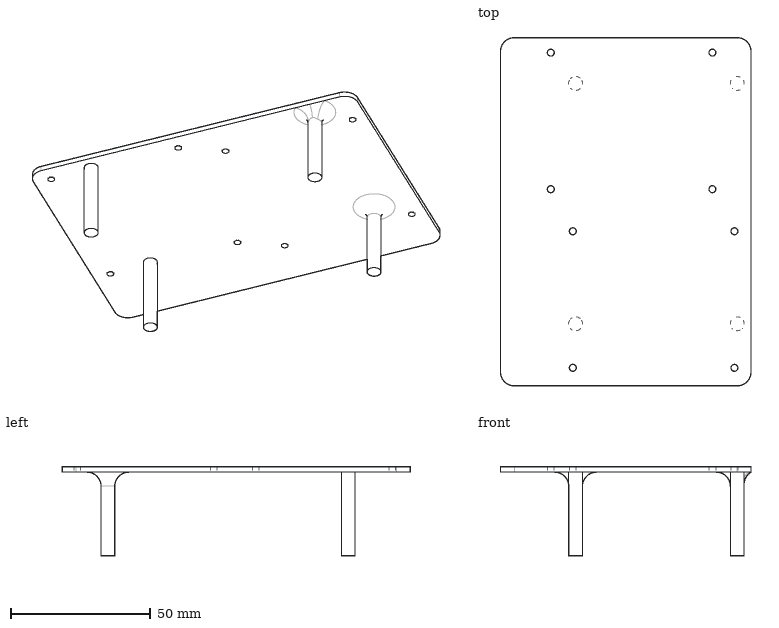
import cadquery as cq

plate_width = 90.0
plate_length = 125.0
plate_thickness = 2.0
corner_radius = 5.0

hole_diameter = 2.4
hole_pitch_x = 58.0
hole_pitch_y = 49.0
front_pattern_origin = (26.0, 6.5)
rear_pattern_origin = (18.1, 70.6)

post_diameter = 5.0
post_height = 30.0
post_pitch_x = 58.0
first_post_x = 27.0
front_post_y = 22.3
rear_post_y = 108.55
flare_radius = 5.0
root_tolerance = 0.1


def make_plate():
    """Rounded rectangular plate."""
    return (
        cq.Workplane("XY")
        .rect(plate_width, plate_length, centered=False)
        .extrude(plate_thickness)
        .edges("|Z")
        .fillet(corner_radius)
    )


def hole_pattern(origin):
    """Four through-hole cutters, with the lower left one at the origin point."""
    x, y = origin
    centers = [(x + dx, y + dy) for dx in (0, hole_pitch_x) for dy in (0, hole_pitch_y)]
    return (
        cq.Workplane("XY")
        .pushPoints(centers)
        .circle(hole_diameter / 2)
        .extrude(plate_thickness)
    )


def make_post(x, y):
    """Plain round post hanging from the underside of the plate."""
    return cq.Workplane("XY").center(x, y).circle(post_diameter / 2).extrude(-post_height)


def flare_post_root(body, x, y):
    """Fillet the root of one post; next to the plate edge the fillet ends on that edge."""
    reach = post_diameter / 2 + root_tolerance
    root_selector = cq.selectors.BoxSelector(
        (x - reach, y - reach, -root_tolerance),
        (x + reach, y + reach, root_tolerance),
        boundingbox=True,
    )
    return body.edges(root_selector).fillet(flare_radius)


result = make_plate()
for pattern_origin in (front_pattern_origin, rear_pattern_origin):
    result = result.cut(hole_pattern(pattern_origin))

post_columns = (first_post_x, first_post_x + post_pitch_x)
for post_x in post_columns:
    for post_y in (front_post_y, rear_post_y):
        result = result.union(make_post(post_x, post_y))
for post_x in post_columns:
    result = flare_post_root(result, post_x, rear_post_y)